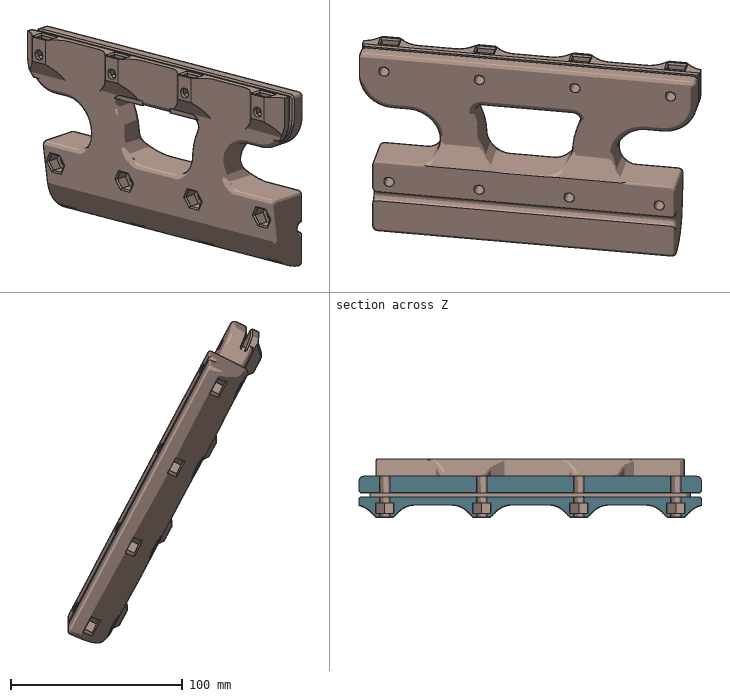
import cadquery as cq
import math


plate_length = 200.0
plate_top = 111.0
plate_bottom = 76.5
plate_thickness = 17.0
plate_corner_radius = 20.0

rail_length = 180.0
rail_top = 46.2
rail_back = 27.0
front_slope_bottom_y = 4.2
front_slope_bottom_z = 19.5
rail_foot = 1.2

runout_radius = 13.0
runout_length = runout_radius * math.tan(math.radians(22.5))
runout_rise = runout_radius * (1 - math.cos(math.radians(45)))
runout_half_rise = runout_radius * (1 - math.cos(math.radians(22.5)))
runout_half_run = runout_radius * math.sin(math.radians(22.5))
runout_run = runout_radius * math.sin(math.radians(45))

neck_center_x = 70.5
neck_center_z = 58.0
notch_radius = plate_bottom - neck_center_z
notch_low_radius = 9.8
neck_width = 25.5
window_side_radius = notch_radius + neck_width
window_top = 83.5
window_top_radius = 4.5
window_low_radius = 13.5

blank_front = -20.0
blank_back = 80.0

edge_radius = 3.0
back_edge_radius = 1.5
lip = 1.0

slot_front = 4.8
slot_width = 2.5
slot_floor = 86.0
slot_end_radius = 3.0
mouth_bottom = 81.0

boss_pitch = 56.5
boss_height = 7.2
boss_face_width = 10.0
boss_face_bottom = 96.2
boss_hole_z = 101.0

bolt_diameter = 6.0
nut_width = 10.5
nut_slot_thickness = 6.0
nut_corner_reach = nut_width / math.sqrt(3)
boss_nut_y = -1.8
rail_pitch = 53.5
rail_hole_z = 33.5
rail_hex_depth = 8.0
rail_nut_y = 16.0
rail_nut_z = 10.0

groove_z = 23.5
groove_radius = 3.0
groove_flare = 3.0


def four_places(pitch):
    return [pitch * step for step in (-1.5, -0.5, 0.5, 1.5)]


def slab(outline, y_front, y_back):
    """Extrude an outline drawn in XZ from y_front to y_back."""
    return outline.extrude(-(y_back - y_front)).translate((0, y_front, 0))


def tangent_point(center, other, radius):
    """Point at the given radius from center, on the ray towards other."""
    distance = math.dist(center, other)
    return tuple(c + radius * (o - c) / distance for c, o in zip(center, other))


def plate_blank():
    """Plate and rail silhouette without notches or window."""
    plate_height = plate_top - plate_bottom
    plate = cq.Workplane("XZ").center(0, plate_top - plate_height / 2).rect(plate_length, plate_height)
    plate = slab(plate, blank_front, blank_back).edges("|Y and <Z").fillet(plate_corner_radius)
    middle = cq.Workplane("XZ").center(0, (rail_top + plate_bottom) / 2)
    middle = slab(middle.rect(2 * neck_center_x, plate_bottom - rail_top), blank_front, blank_back)
    rail = cq.Workplane("XZ").center(0, rail_top / 2).rect(rail_length, rail_top)
    rail = slab(rail, blank_front, blank_back)
    rail = rail.edges("|Y and >Z").fillet(edge_radius)
    return plate.union(middle).union(rail).clean()


def notch(side):
    """Side notch: a large arc under the plate blending into a smaller one on the rail."""
    center = (neck_center_x, neck_center_z)
    low_z = rail_top + notch_low_radius
    low_x = neck_center_x - math.sqrt((notch_radius - notch_low_radius) ** 2 - (neck_center_z - low_z) ** 2)
    blend_x, blend_z = tangent_point(center, (low_x, low_z), notch_radius)
    diagonal = math.sqrt(0.5)
    outline = (
        cq.Workplane("XZ")
        .moveTo(side * plate_length, plate_bottom)
        .lineTo(side * neck_center_x, plate_bottom)
        .threePointArc(
            (side * (neck_center_x - notch_radius * diagonal), neck_center_z + notch_radius * diagonal),
            (side * blend_x, blend_z),
        )
        .threePointArc(
            (side * (low_x - notch_low_radius * diagonal), low_z - notch_low_radius * diagonal),
            (side * low_x, rail_top),
        )
        .lineTo(side * plate_length, rail_top)
        .close()
    )
    return slab(outline, blank_front, blank_back)


def window(margin):
    """Outline of the window between the necks, grown outwards by margin."""
    side_radius = window_side_radius - margin
    top_radius = window_top_radius + margin
    low_radius = window_low_radius + margin
    top = window_top + margin
    bottom = rail_top - margin
    center = (neck_center_x, neck_center_z)
    top_z = top - top_radius
    top_x = neck_center_x - math.sqrt((side_radius + top_radius) ** 2 - (top_z - neck_center_z) ** 2)
    low_z = bottom + low_radius
    low_x = neck_center_x - math.sqrt((side_radius + low_radius) ** 2 - (low_z - neck_center_z) ** 2)
    upper = tangent_point(center, (top_x, top_z), side_radius)
    lower = tangent_point(center, (low_x, low_z), side_radius)
    middle = tangent_point(center, ((upper[0] + lower[0]) / 2, (upper[1] + lower[1]) / 2), side_radius)
    diagonal = math.sqrt(0.5)
    top_mid = (top_x + top_radius * diagonal, top_z + top_radius * diagonal)
    low_mid = (low_x + low_radius * diagonal, low_z - low_radius * diagonal)

    def left(point):
        return (-point[0], point[1])

    return (
        cq.Workplane("XZ")
        .moveTo(-top_x, top)
        .lineTo(top_x, top)
        .threePointArc(top_mid, upper)
        .threePointArc(middle, lower)
        .threePointArc(low_mid, (low_x, bottom))
        .lineTo(-low_x, bottom)
        .threePointArc(left(low_mid), left(lower))
        .threePointArc(left(middle), left(upper))
        .threePointArc(left(top_mid), (-top_x, top))
        .close()
    )


def sweep_along_x(section):
    return section.extrude(plate_length / 2, both=True)


def outline_blank():
    """Full depth block with the silhouette seen along Y."""
    opening = slab(window(0), blank_front, blank_back)
    return plate_blank().cut(notch(-1)).cut(notch(1)).cut(opening)


def neck_section():
    """Flat front, plate back, and the S-shaped step continued down at 45 degrees."""
    step = rail_back - plate_thickness
    runout_top = rail_top + step + runout_length
    slope_start_y = plate_thickness + runout_rise
    slope_start_z = runout_top - runout_run
    return (
        cq.Workplane("YZ")
        .moveTo(0, plate_top)
        .lineTo(plate_thickness, plate_top)
        .lineTo(plate_thickness, runout_top)
        .threePointArc(
            (plate_thickness + runout_half_rise, runout_top - runout_half_run),
            (slope_start_y, slope_start_z),
        )
        .lineTo(slope_start_y + slope_start_z, 0)
        .lineTo(0, 0)
        .close()
    )


def rail_section():
    """Leaning front, round belly and flat back, continued up past the plate."""
    lean = front_slope_bottom_y / (rail_top - front_slope_bottom_z)
    top_y = -lean * (plate_top - rail_top)
    return (
        cq.Workplane("YZ")
        .moveTo(rail_back, plate_top)
        .lineTo(top_y, plate_top)
        .lineTo(front_slope_bottom_y, front_slope_bottom_z)
        .tangentArcPoint((rail_back - rail_foot, 0), relative=False)
        .lineTo(rail_back, 0)
        .close()
    )


def rim(solid, direction):
    """Outer edges of the faces that look along direction (+1 or -1) in Y, without those at the bottom."""
    seen = {}
    for face in solid.faces().vals():
        if face.normalAt().y * direction > 0.5:
            for edge in face.Edges():
                count, _ = seen.get(edge.hashCode(), (0, edge))
                seen[edge.hashCode()] = (count + 1, edge)
    return [edge for count, edge in seen.values() if count == 1 and edge.Center().z > 0.02]


def below_top(edges):
    return [edge for edge in edges if edge.Center().z < plate_top - 0.02]


def rounded_body():
    """Plate, necks and rail; three filleted solids share the work, each shaping one side of the body."""
    silhouette = outline_blank()
    upper_section = sweep_along_x(neck_section())

    front = silhouette.intersect(upper_section)
    front = front.newObject(below_top(rim(front, -1))).fillet(edge_radius)

    back = silhouette.edges("|Y and >Z").fillet(edge_radius).intersect(upper_section)
    back = back.newObject(rim(back, 1)).fillet(edge_radius)
    ahead_of_slot = cq.Workplane("XZ").rect(2 * plate_length, 2 * plate_length)
    back = back.union(silhouette.intersect(slab(ahead_of_slot, blank_front, slot_front)))

    rail = silhouette.intersect(sweep_along_x(rail_section()))
    rail = rail.newObject(below_top(rim(rail, -1))).fillet(edge_radius)
    back_sides = cq.selectors.BoxSelector(
        (-rail_length, rail_back - 0.02, -2), (rail_length, rail_back + 0.02, rail_top - edge_radius)
    )
    rail = rail.edges(back_sides).fillet(back_edge_radius)
    return front.intersect(back).intersect(rail)


def flank(sketch, side, face_edge):
    """From the boss face, down the 45 degree flank and its run-out arc, into the plate."""
    root = face_edge + side * (boss_height + runout_length)
    return (
        sketch.lineTo(face_edge, -boss_height)
        .lineTo(root - side * runout_run, -runout_rise)
        .threePointArc((root - side * runout_half_run, -runout_half_rise), (root, 0))
        .lineTo(root, edge_radius)
    )


def bosses():
    """Raised pads on the plate front; their side and bottom flanks meet in mitres."""
    side_view = cq.Workplane("ZY").moveTo(plate_top, edge_radius).lineTo(plate_top, -boss_height)
    bottom_flank = flank(side_view, -1, boss_face_bottom).close().extrude(plate_length, both=True)
    pads = cq.Workplane()
    for x in four_places(boss_pitch):
        face_edge = x + boss_face_width / 2
        half = flank(cq.Workplane("XY").moveTo(x, edge_radius).lineTo(x, -boss_height), 1, face_edge)
        half = half.close().extrude(plate_top)
        pads = pads.add(half).add(half.mirror("YZ", (x, 0, 0)))
    pads = pads.combine().intersect(bottom_flank).intersect(plate_blank())
    return pads.cut(slab(window(edge_radius), blank_front, 0))


def slot():
    """Slot through the plate ends; its floor rounds off where it leaves the outline."""
    height = plate_top - slot_floor
    above = cq.Workplane("XZ").center(0, slot_floor + height).rect(2 * plate_length, 2 * height)
    web = plate_blank().cut(slab(above, blank_front, blank_back))
    web = web.edges("|Y and >Z").fillet(slot_end_radius)
    gap_height = 2 * (plate_top - plate_bottom - edge_radius)
    gap = cq.Workplane("XZ").center(0, plate_top).rect(plate_length, gap_height)
    return slab(gap, slot_front, slot_front + slot_width).cut(web)


def mouth_chamfer(y_wall, side, top_radius):
    """Corner strip taken off one slab where its slot wall (side -1 or 1 of the slab) meets the outline."""
    thickness = 2 * lip
    height = plate_top - plate_bottom
    slab_outline = cq.Workplane("XZ").center(0, plate_top - height / 2).rect(plate_length, height)
    tab = slab(slab_outline, 0, thickness).edges("|Y and <Z").fillet(plate_corner_radius)
    if top_radius:
        tab = tab.edges("|Y and >Z").fillet(top_radius)
    wall = ">Y" if side > 0 else "<Y"
    strip = tab.cut(tab.faces(wall).edges().chamfer(lip))
    above_web = cq.Workplane("XZ").center(0, plate_top).rect(2 * plate_length, 2 * (plate_top - mouth_bottom))
    strip = strip.intersect(slab(above_web, 0, thickness))
    return strip.translate((0, y_wall - thickness if side > 0 else y_wall, 0))


def nut_trap(x, y, z, toward):
    """Slot for a hexagon nut standing on a corner, open towards +Z (1) or -Z (-1)."""
    hexagon = cq.Workplane("XZ").polygon(6, 2 * nut_corner_reach).extrude(nut_slot_thickness / 2, both=True)
    hexagon = hexagon.rotate((0, 0, 0), (0, 1, 0), 30)
    reach = plate_top - boss_hole_z
    shaft = cq.Workplane().box(nut_width, nut_slot_thickness, reach).translate((0, 0, toward * reach / 2))
    return hexagon.union(shaft).translate((x, y, z))


def lip_cutter(x, y):
    """Flared mouth of a nut trap at the plate top."""
    mouth = cq.Workplane("XY", origin=(x, y, plate_top))
    return mouth.rect(nut_width + 2 * lip, nut_slot_thickness + 2 * lip).extrude(-lip, taper=45)


def bolt_hole(x, z):
    bolt = cq.Workplane("XZ", origin=(x, 0, z)).circle(bolt_diameter / 2)
    return bolt.extrude(plate_length, both=True)


def hex_pocket(x):
    """Hexagon pocket with a flared mouth in the leaning rail front."""
    lean = math.atan2(front_slope_bottom_y, rail_top - front_slope_bottom_z)
    mouth_y = math.tan(lean) * (rail_top - rail_hole_z)
    size = 2 * nut_corner_reach
    pocket = cq.Workplane("XZ", origin=(x, 0, rail_hole_z)).polygon(6, size).extrude(-mouth_y - rail_hex_depth)
    normal = (0, -math.cos(lean), -math.sin(lean))
    face = cq.Plane(origin=(x, mouth_y, rail_hole_z), xDir=(1, 0, 0), normal=normal)
    flare = cq.Workplane(face).polygon(6, size + 2 * lip / math.cos(math.pi / 6)).extrude(-lip, taper=45)
    return pocket.union(flare)


def rod_groove():
    """Half-round groove along the rail back, flared at both ends."""
    end = rail_length / 2
    inner = end - groove_flare
    bend = groove_flare * math.sqrt(0.5)
    half = (
        cq.Workplane("XZ")
        .moveTo(0, 0)
        .lineTo(0, groove_radius)
        .lineTo(inner, groove_radius)
        .threePointArc(
            (inner + bend, groove_radius + groove_flare - bend),
            (end, groove_radius + groove_flare),
        )
        .lineTo(end, 0)
        .close()
        .revolve(360, (0, 0, 0), (1, 0, 0))
        .translate((0, rail_back, groove_z))
    )
    return half.union(half.mirror("YZ"))


result = rounded_body().union(bosses()).cut(slot())
result = result.cut(mouth_chamfer(slot_front, 1, 0))
result = result.cut(mouth_chamfer(slot_front + slot_width, -1, edge_radius))

for boss_x in four_places(boss_pitch):
    result = result.cut(bolt_hole(boss_x, boss_hole_z))
    result = result.cut(nut_trap(boss_x, boss_nut_y, boss_hole_z, 1)).cut(lip_cutter(boss_x, boss_nut_y))

for rail_x in four_places(rail_pitch):
    result = result.cut(bolt_hole(rail_x, rail_hole_z)).cut(hex_pocket(rail_x))
    result = result.cut(nut_trap(rail_x, rail_nut_y, rail_nut_z, -1))

result = result.cut(rod_groove())